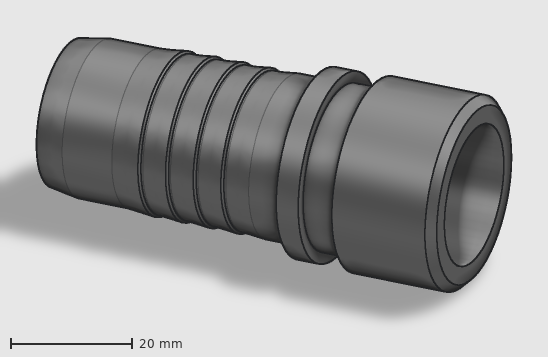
import cadquery as cq
import math

LENGTH = 73.5
BORE_DIAMETER = 24.0

NOSE_DIAMETER = 25.3
NOSE_LENGTH = 5.0
TAIL_DIAMETER = 27.0
TAIL_END = 14.0

BARB_COUNT = 4
BARB_PITCH = 5.0
FIRST_CREST = 18.95
CREST_DIAMETER = 28.0
ROOT_DIAMETER = 27.2
DROP_LENGTH = 0.4
ROOT_LENGTH = 0.3

SHANK_START = FIRST_CREST + BARB_COUNT * BARB_PITCH
SHANK_DIAMETER = 28.0
COLLAR_START = 45.0
COLLAR_WIDTH = 4.0
COLLAR_DIAMETER = 32.5
NECK_DIAMETER = 28.5

HEAD_DIAMETER = 33.2
SHOULDER_END = 55.2
SHOULDER_SLOPE_DEGREES = 15.0
SHOULDER_HEIGHT = (HEAD_DIAMETER - NECK_DIAMETER) / 2
SHOULDER_START = SHOULDER_END - SHOULDER_HEIGHT * math.tan(math.radians(SHOULDER_SLOPE_DEGREES))
NECK_FILLET = 0.6
END_CHAMFER = 1.5


def barb_points(crest_x):
    """Crest, foot of the drop, and end of the root of one barb."""
    foot_x = crest_x + DROP_LENGTH
    return [
        (crest_x, CREST_DIAMETER / 2),
        (foot_x, ROOT_DIAMETER / 2),
        (foot_x + ROOT_LENGTH, ROOT_DIAMETER / 2),
    ]


def wall_profile():
    """Half section of the tube wall, from the bore out."""
    collar_end = COLLAR_START + COLLAR_WIDTH
    points = [
        (0, BORE_DIAMETER / 2),
        (0, NOSE_DIAMETER / 2),
        (NOSE_LENGTH, TAIL_DIAMETER / 2),
        (TAIL_END, TAIL_DIAMETER / 2),
    ]
    for index in range(BARB_COUNT):
        points += barb_points(FIRST_CREST + index * BARB_PITCH)
    points += [
        (SHANK_START, SHANK_DIAMETER / 2),
        (COLLAR_START, SHANK_DIAMETER / 2),
        (COLLAR_START, COLLAR_DIAMETER / 2),
        (collar_end, COLLAR_DIAMETER / 2),
        (collar_end, NECK_DIAMETER / 2),
        (SHOULDER_START, NECK_DIAMETER / 2),
        (SHOULDER_END, HEAD_DIAMETER / 2),
        (LENGTH - END_CHAMFER, HEAD_DIAMETER / 2),
        (LENGTH, HEAD_DIAMETER / 2 - END_CHAMFER),
        (LENGTH, BORE_DIAMETER / 2),
    ]
    return cq.Workplane("XY").polyline(points).close()


def fillet_neck(body):
    """Round the inner corner where the neck meets the shoulder."""
    corner = cq.selectors.NearestToPointSelector((SHOULDER_START, 0, 0))
    return body.edges("%CIRCLE").edges(corner).fillet(NECK_FILLET)


tube = wall_profile().revolve(360, (0, 0, 0), (1, 0, 0))
result = fillet_neck(tube)